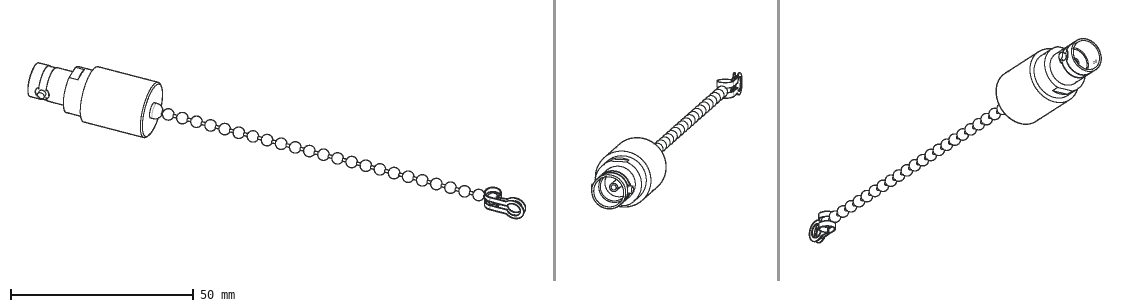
import cadquery as cq
import math

TOTAL_LENGTH = 145.9

BARREL_RADIUS = 4.8
BARREL_END = 11.2
COLLAR_RADIUS = 6.5
COLLAR_END = 16.8
BODY_RADIUS = 7.9
BODY_END = 35.0
BODY_CHAMFER = 0.5

LUG_X = 4.2
LUG_RADIUS = 1.0
LUG_TIP_Y = 5.7
LUG_SEAT_RADIUS = 2.0
LUG_SEAT_Y = 4.5
GROOVE_WIDTH = 2.2
GROOVE_DEPTH = 0.1

FLAT_HEIGHT = 6.1
FLAT_LENGTH = 2.6

MOUTH_RADIUS = 4.2
MOUTH_DEPTH = 5.8
BORE_RADIUS = 3.8
BORE_DEPTH = BARREL_END
CONTACT_RADIUS = 1.2
CONTACT_HOLE_RADIUS = 0.7
CONTACT_FACE_X = MOUTH_DEPTH

ANCHOR_RADIUS = 2.2
ANCHOR_LENGTH = 0.7
ANCHOR_DOME_X = BODY_END + ANCHOR_LENGTH
ANCHOR_TIP = ANCHOR_DOME_X + ANCHOR_RADIUS

BEAD_COUNT = 24
BEAD_RADIUS = 1.6
FIRST_BEAD_X = 39.7
LAST_BEAD_X = 135.8
BEAD_PITCH = (LAST_BEAD_X - FIRST_BEAD_X) / (BEAD_COUNT - 1)
WIRE_RADIUS = 0.5
WIRE_SOCKET_DEPTH = 0.9

STRAP_THICKNESS = 0.3
STRAP_OUTER_RADIUS = 2.3
STRAP_INNER_RADIUS = STRAP_OUTER_RADIUS - STRAP_THICKNESS
STRAP_MID_RADIUS = STRAP_OUTER_RADIUS - STRAP_THICKNESS / 2
STRAP_WIDTH = 4.4
SLOT_WIDTH = 1.3
EYELET_RADIUS = 3.0
EYELET_HOLE_RADIUS = 2.0
EYELET_X = TOTAL_LENGTH - EYELET_RADIUS
FRONT_LEAF_ANGLE = 270.0
LOOP_END_ANGLE = -43.0
BACK_SLOT_LENGTH = 0.7
BACK_LEAF_TILT = 7.0
BACK_EYELET_SETBACK = 0.1


def x_cylinder(start, end, radius):
    """Cylinder on the X axis between two X positions."""
    return cq.Workplane("YZ", origin=(start, 0, 0)).circle(radius).extrude(end - start)


def make_connector():
    """Stepped connector shell with its socket contact, bayonet lugs and chain anchor."""
    connector = x_cylinder(0, BARREL_END, BARREL_RADIUS)
    connector = connector.union(make_collar())
    body = x_cylinder(COLLAR_END, BODY_END, BODY_RADIUS).faces(">X").chamfer(BODY_CHAMFER)
    connector = connector.union(body)
    connector = connector.union(make_anchor())
    connector = cut_lug_band(connector)
    connector = connector.union(make_lugs())
    connector = connector.cut(x_cylinder(0, BORE_DEPTH, BORE_RADIUS))
    connector = connector.cut(x_cylinder(0, MOUTH_DEPTH, MOUTH_RADIUS))
    return connector.union(make_contact())


def make_collar():
    """Collar cylinder with a flat milled on its top and bottom at the barrel end."""
    collar = x_cylinder(BARREL_END, COLLAR_END, COLLAR_RADIUS)
    flat_zone = x_cylinder(BARREL_END, BARREL_END + FLAT_LENGTH, COLLAR_RADIUS)
    between_flats = cq.Workplane("XY").box(TOTAL_LENGTH, 2 * COLLAR_RADIUS, 2 * FLAT_HEIGHT)
    return collar.cut(flat_zone.cut(between_flats))


def make_anchor():
    """Short boss with a domed end, drilled to seat the end of the chain wire."""
    anchor = x_cylinder(BODY_END, ANCHOR_DOME_X, ANCHOR_RADIUS)
    dome = cq.Workplane("XY").sphere(ANCHOR_RADIUS).translate((ANCHOR_DOME_X, 0, 0))
    dome = dome.intersect(x_cylinder(ANCHOR_DOME_X, ANCHOR_TIP, ANCHOR_RADIUS))
    wire_socket = x_cylinder(ANCHOR_TIP - WIRE_SOCKET_DEPTH, ANCHOR_TIP, WIRE_RADIUS)
    return anchor.union(dome).cut(wire_socket)


def cut_lug_band(connector):
    """Cut the shallow groove round the barrel and the flat seats under the lugs."""
    start = LUG_X - GROOVE_WIDTH / 2
    end = LUG_X + GROOVE_WIDTH / 2
    groove_floor = x_cylinder(start, end, BARREL_RADIUS - GROOVE_DEPTH)
    connector = connector.cut(x_cylinder(start, end, BARREL_RADIUS).cut(groove_floor))
    for side in (-1, 1):
        seat = cq.Workplane("XZ", origin=(LUG_X, side * LUG_SEAT_Y, 0)).circle(LUG_SEAT_RADIUS)
        connector = connector.cut(seat.extrude(-side * BARREL_RADIUS))
    return connector


def make_lugs():
    """Bayonet pin through the barrel; the bore later splits it into two lugs."""
    return cq.Workplane("XZ", origin=(LUG_X, 0, 0)).circle(LUG_RADIUS).extrude(LUG_TIP_Y, both=True)


def make_contact():
    """Tubular socket contact on the floor of the bore."""
    contact = x_cylinder(CONTACT_FACE_X, BORE_DEPTH, CONTACT_RADIUS)
    return contact.cut(x_cylinder(CONTACT_FACE_X, BORE_DEPTH, CONTACT_HOLE_RADIUS))


def make_chain():
    """Beads joined by one straight wire, turned as a single half profile about the X axis."""
    bead_edge = math.sqrt(BEAD_RADIUS**2 - WIRE_RADIUS**2)
    profile = cq.Workplane("XZ").moveTo(ANCHOR_TIP - WIRE_SOCKET_DEPTH, 0)
    profile = profile.lineTo(ANCHOR_TIP - WIRE_SOCKET_DEPTH, WIRE_RADIUS)
    for index in range(BEAD_COUNT - 1):
        bead_x = FIRST_BEAD_X + index * BEAD_PITCH
        profile = profile.lineTo(bead_x - bead_edge, WIRE_RADIUS)
        profile = profile.threePointArc((bead_x, BEAD_RADIUS), (bead_x + bead_edge, WIRE_RADIUS))
    profile = profile.lineTo(LAST_BEAD_X - bead_edge, WIRE_RADIUS)
    profile = profile.threePointArc((LAST_BEAD_X, BEAD_RADIUS), (LAST_BEAD_X + BEAD_RADIUS, 0))
    return profile.close().revolve(360, (0, 0, 0), (1, 0, 0))


def point_on_loop(radius, angle):
    """Point in the XY plane on a circle round the last bead."""
    turn = math.radians(angle)
    return LAST_BEAD_X + radius * math.cos(turn), radius * math.sin(turn)


def make_loop():
    """Strap bent round the last bead, from the front leaf over to the back leaf."""
    halfway = (LOOP_END_ANGLE + FRONT_LEAF_ANGLE) / 2
    profile = cq.Workplane("XY").moveTo(*point_on_loop(STRAP_OUTER_RADIUS, LOOP_END_ANGLE))
    profile = profile.threePointArc(
        point_on_loop(STRAP_OUTER_RADIUS, halfway),
        point_on_loop(STRAP_OUTER_RADIUS, FRONT_LEAF_ANGLE),
    )
    profile = profile.lineTo(*point_on_loop(STRAP_INNER_RADIUS, FRONT_LEAF_ANGLE))
    profile = profile.threePointArc(
        point_on_loop(STRAP_INNER_RADIUS, halfway),
        point_on_loop(STRAP_INNER_RADIUS, LOOP_END_ANGLE),
    )
    loop = profile.close().extrude(STRAP_WIDTH / 2, both=True)
    slot_size = 2 * STRAP_OUTER_RADIUS
    slot = cq.Workplane("XY", origin=(LAST_BEAD_X, 0, 0)).box(slot_size, slot_size, SLOT_WIDTH)
    return loop.cut(slot)


def leaf_plate(outline):
    """Extrude an XZ outline to the strap thickness, centred on Y = 0."""
    return outline.extrude(STRAP_THICKNESS / 2, both=True)


def make_leaf(length, slot_length):
    """Flat strip along X with an eyelet at its far end and a slot from its near end."""
    strip = leaf_plate(cq.Workplane("XZ").center(length / 2, 0).rect(length, STRAP_WIDTH))
    eyelet = leaf_plate(cq.Workplane("XZ").center(length, 0).circle(EYELET_RADIUS))
    hole = leaf_plate(cq.Workplane("XZ").center(length, 0).circle(EYELET_HOLE_RADIUS))
    slot = leaf_plate(cq.Workplane("XZ").center(slot_length / 2, 0).rect(slot_length, SLOT_WIDTH))
    return strip.union(eyelet).cut(hole).cut(slot)


def make_clasp():
    """Loop with two leaves that diverge towards their eyelets; the back leaf is slightly shorter."""
    front_length = EYELET_X - LAST_BEAD_X
    front = make_leaf(front_length, front_length).translate((LAST_BEAD_X, -STRAP_MID_RADIUS, 0))
    hinge_x, hinge_y = point_on_loop(STRAP_MID_RADIUS, LOOP_END_ANGLE)
    back_length = (EYELET_X - BACK_EYELET_SETBACK - hinge_x) / math.cos(math.radians(BACK_LEAF_TILT))
    back = make_leaf(back_length, BACK_SLOT_LENGTH).rotate((0, 0, 0), (0, 0, 1), BACK_LEAF_TILT)
    back = back.translate((hinge_x, hinge_y, 0))
    return make_loop().union(front).union(back)


connector = make_connector()
chain = make_chain()
clasp = make_clasp()
result = cq.Compound.makeCompound([connector.val(), chain.val(), clasp.val()])